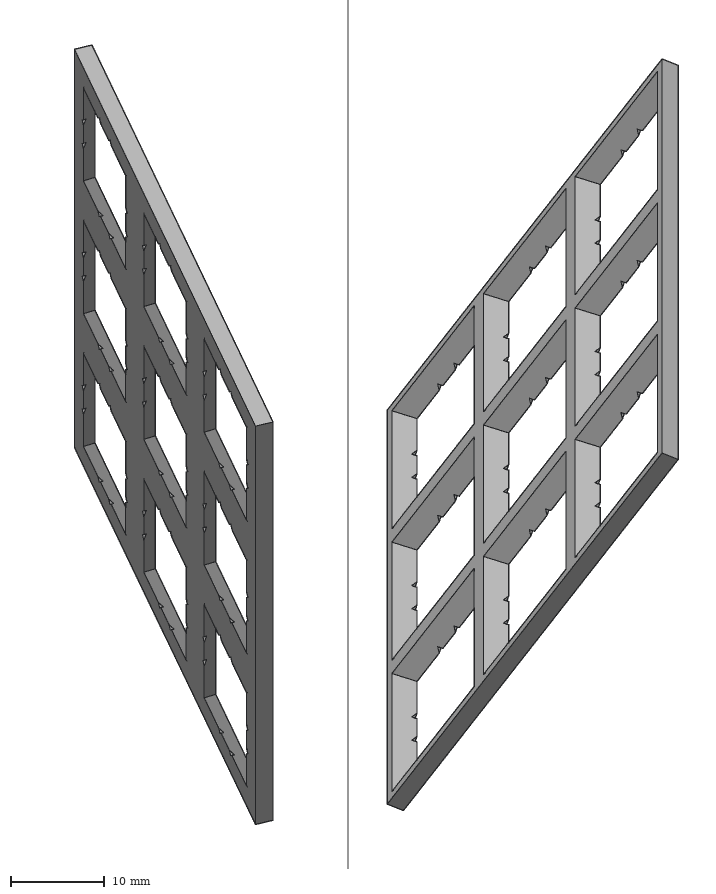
import cadquery as cq

plate_side = 60.0
plate_thickness = 2.0

windows_per_side = 3
cell_side = plate_side / windows_per_side
window_margin = 3.0
window_side = cell_side - 2 * window_margin

flared_side = window_side + 2 * plate_thickness

notch_spacing = 3.55
notch_width = 0.85
notch_depth = 0.4


def make_flared_window():
    """Frustum cutter: narrow at the front face (-Y), wide at the back face (+Y)."""
    return (
        cq.Workplane("XZ", origin=(0, -plate_thickness / 2, 0))
        .rect(window_side, window_side)
        .workplane(offset=-plate_thickness)
        .rect(flared_side, flared_side)
        .loft(ruled=True)
    )


def make_notch_bar(offset):
    """Bar across the window whose pointed ends cut the notches in two facing edges."""
    half_width = notch_width / 2
    edge = window_side / 2
    tip = edge + notch_depth
    outline = [
        (offset - half_width, -edge),
        (offset, -tip),
        (offset + half_width, -edge),
        (offset + half_width, edge),
        (offset, tip),
        (offset - half_width, edge),
    ]
    return cq.Workplane("XZ").polyline(outline).close().extrude(plate_thickness / 2, both=True)


def make_window_cutter():
    """Cutter for one window together with the notches in its four edges."""
    cutter = make_flared_window()
    for offset in (-notch_spacing / 2, notch_spacing / 2):
        upright_bar = make_notch_bar(offset)
        level_bar = upright_bar.rotate((0, 0, 0), (0, 1, 0), 90)
        cutter = cutter.union(upright_bar).union(level_bar)
    return cutter


def cell_centres():
    """Cell centres along one axis of the grid."""
    middle = (windows_per_side - 1) / 2
    return [(i - middle) * cell_side for i in range(windows_per_side)]


result = cq.Workplane("XY").box(plate_side, plate_thickness, plate_side)
window_cutter = make_window_cutter()
for x in cell_centres():
    for z in cell_centres():
        result = result.cut(window_cutter.translate((x, 0, z)))